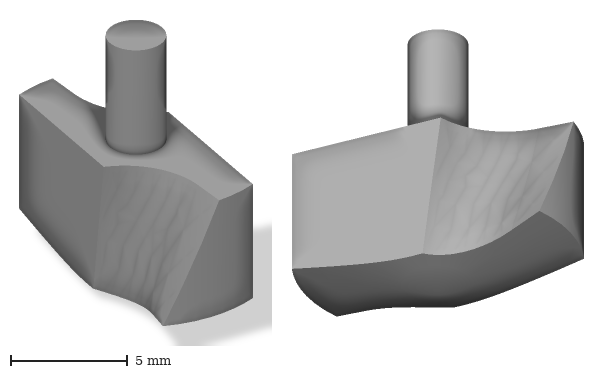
import cadquery as cq
import math

head_diameter = 12.58
head_thickness = 4.77
rim_depth = 5.67
tip_depth = 7.02
overall_height = 12.2
shank_diameter = 2.6

flute_radius = 3.82
flute_center_x = 4.97
flute_center_y = -3.5
face_angle = 4.5
twist_to_rim = 24.0
margin = 1.26

head_radius = head_diameter / 2
shank_height = overall_height - tip_depth


def make_head():
    """Cylinder with a conical point, trimmed to two parallel flats."""
    turned = (
        cq.Workplane("XZ")
        .polyline([(0, 0), (head_radius, 0), (head_radius, -rim_depth), (0, -tip_depth)])
        .close()
        .revolve(360, (0, 0, 0), (0, 1, 0))
    )
    slab = cq.Workplane("XY").box(
        head_diameter + margin, head_thickness, tip_depth, centered=(True, True, False)
    ).translate((0, 0, -tip_depth))
    return turned.intersect(slab)


def arc_point(degrees):
    """Point on the flute's root arc."""
    angle = math.radians(degrees)
    return (
        flute_center_x + flute_radius * math.cos(angle),
        flute_center_y + flute_radius * math.sin(angle),
    )


def make_flute():
    """Helical cutter: root arc running tangentially into a straight face."""
    arc_start = 180
    arc_end = 90 + face_angle
    face_start = arc_point(arc_end)
    outer_x = head_radius + margin
    outer_y = face_start[1] + (outer_x - face_start[0]) * math.tan(math.radians(face_angle))
    lower_y = flute_center_y - margin
    depth = tip_depth + margin
    profile = (
        cq.Workplane("XY")
        .moveTo(*arc_point(arc_start))
        .threePointArc(arc_point((arc_start + arc_end) / 2), face_start)
        .lineTo(outer_x, outer_y)
        .lineTo(outer_x, lower_y)
        .lineTo(arc_point(arc_start)[0], lower_y)
        .close()
    )
    return profile.twistExtrude(-depth, twist_to_rim * depth / rim_depth)


head = make_head()
flute = make_flute()
for turn in (0, 180):
    head = head.cut(flute.rotate((0, 0, 0), (0, 0, 1), turn))

shank = cq.Workplane("XY").circle(shank_diameter / 2).extrude(shank_height)
result = head.union(shank)